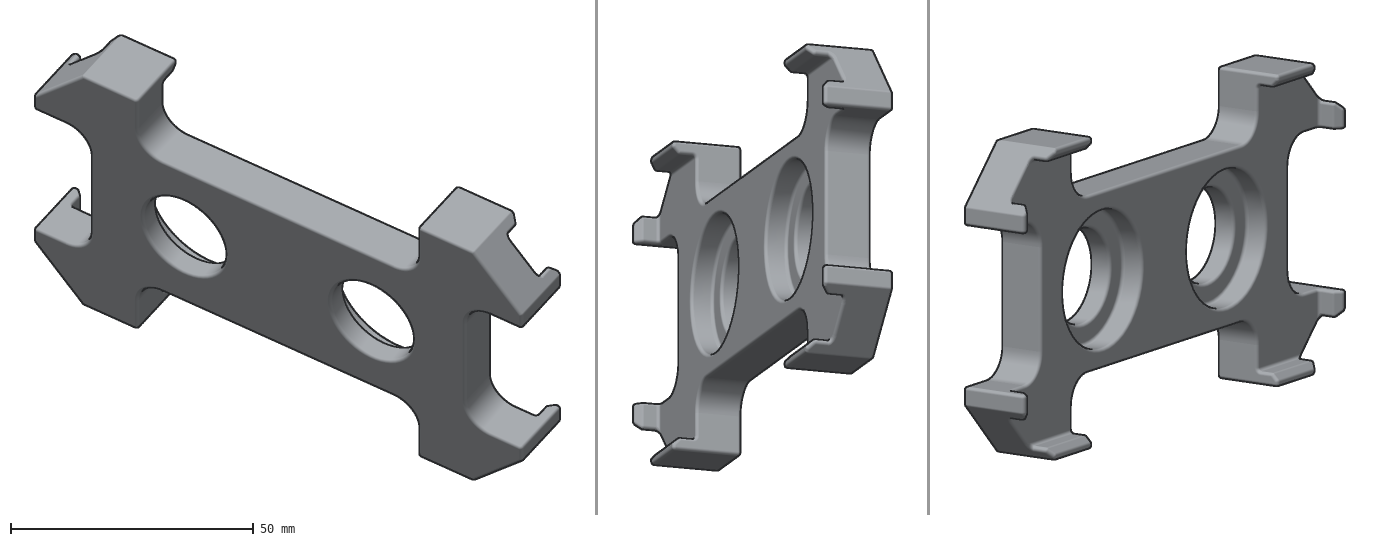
import cadquery as cq

length = 120.0
depth = 15.0
height = 66.0

corner_cut = 12.0
leg_inner_x = 34.5
web_half_height = 18.7
web_half_length = 46.1
jaw_half_height = 17.0
notch_radius = 6.0

web_depth = 10.0
rim = 2.8
mouth_chamfer = 1.5
mouth_angle = 45
tray_corner_radius = 0.7

hole_diameter = 20.2
hole_spacing = 46.1
recess_diameter = 29.3
lip_thickness = 5.0

edge_radius = 0.7

half_length = length / 2
half_height = height / 2
front_y = -depth / 2
back_y = depth / 2


def plate_outline():
    """Corner points of the plate in X and Z, one quadrant mirrored into four."""
    quadrant = [
        (web_half_length, jaw_half_height),
        (half_length, jaw_half_height),
        (half_length, half_height - corner_cut),
        (half_length - corner_cut, half_height),
        (leg_inner_x, half_height),
        (leg_inner_x, web_half_height),
    ]
    left_top = [(-x, z) for x, z in reversed(quadrant)]
    left_bottom = [(-x, -z) for x, z in quadrant]
    right_bottom = [(x, -z) for x, z in reversed(quadrant)]
    return quadrant + left_top + left_bottom + right_bottom


def plate():
    """Full-depth plate with rounded inner corners in its four notches."""
    solid = cq.Workplane("XZ", origin=(0, front_y, 0)).polyline(plate_outline()).close().extrude(-depth)
    notch_corners = [
        (sign_x * x, 0, sign_z * z)
        for x, z in ((web_half_length, jaw_half_height), (leg_inner_x, web_half_height))
        for sign_x in (-1, 1)
        for sign_z in (-1, 1)
    ]
    for corner in notch_corners:
        solid = solid.edges(cq.selectors.NearestToPointSelector(corner)).fillet(notch_radius)
    return solid


def tray():
    """Pocket cutter with rounded floor edges and a flared mouth."""
    tray_depth = depth - web_depth
    solid = (
        cq.Workplane("XZ", origin=(0, back_y, 0))
        .rect(length - 2 * rim, height - 2 * rim)
        .extrude(tray_depth)
    )
    solid = solid.faces("<Y").edges().fillet(tray_corner_radius)
    rim_at_mouth = rim - mouth_chamfer
    mouth = (
        cq.Workplane("XZ", origin=(0, back_y, 0))
        .rect(length - 2 * rim_at_mouth, height - 2 * rim_at_mouth)
        .extrude(mouth_chamfer, taper=mouth_angle)
    )
    return solid.union(mouth)


def windows(diameter, start_y):
    """Pair of round cutters running from start_y out through the +Y side."""
    return (
        cq.Workplane("XZ", origin=(0, start_y, 0))
        .pushPoints([(-hole_spacing / 2, 0), (hole_spacing / 2, 0)])
        .circle(diameter / 2)
        .extrude(-depth)
    )


body = plate().cut(tray())
body = body.cut(windows(hole_diameter, front_y))
body = body.cut(windows(recess_diameter, front_y + lip_thickness))
result = body.edges().fillet(edge_radius)